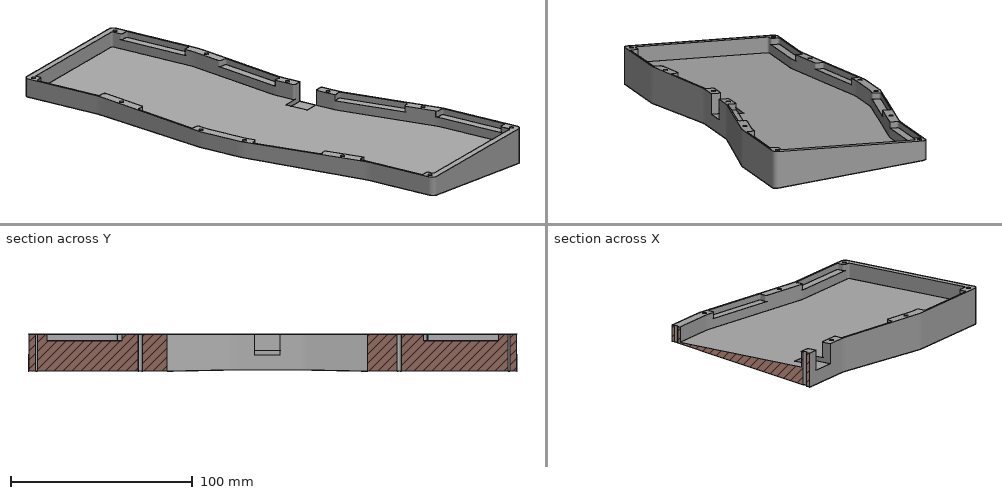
import cadquery as cq
import math

length = 268.5
width = 101.8
height = 21.0
back_y = width / 2
front_y = -width / 2

bend_angle = 10.0
middle_x = 3.0
back_inner_bend = 20.0
back_outer_bend = 80.0
front_inner_bend = 13.7
front_outer_bend = 88.0
corner_radius = 3.0
bend_radius = 25.0

underside_angle = 6.5

wall_thickness = 5.6
end_wall_thickness = 3.8
cavity_depth = 8.9
inner_corner_radius = 1.0

ledge_length = 41.0
ledge_depth = 3.5
lip_thickness = 0.8
back_end_ledge_x = 83.0
front_end_ledge_x = 85.5
back_slant_ledge_x = 19.0
front_slant_ledge_x = 20.0

opening_width = 14.0
opening_front_y = 26.0
opening_depth = 11.5

hole_diameter = 2.2
hole_places = [
    (-130.0, 47.5), (-69.5, 46.7), (-10.2, 37.0), (16.5, 37.0), (72.8, 46.5), (130.0, 47.5),
    (-130.0, -34.7), (-70.5, -37.5), (-11.5, -48.0), (17.0, -48.0), (74.7, -38.0), (130.0, -34.7),
]

slope = math.tan(math.radians(bend_angle))
front_end_y = front_y + (front_outer_bend - front_inner_bend) * slope
back_middle_y = back_y - (back_outer_bend - back_inner_bend) * slope


def outline_prism(wall_inset, end_inset, end_radius):
    """Full-height prism of the outline, set in from the outside by the given amounts."""
    bend_shift = wall_inset * math.tan(math.radians(bend_angle / 2))
    end_x = length / 2 - end_inset
    front = front_end_y + wall_inset
    back = back_y - wall_inset
    front_bends = [
        (front_inner_bend - bend_shift, front_y + wall_inset),
        (front_outer_bend - bend_shift, front),
    ]
    back_bends = [
        (back_outer_bend + bend_shift, back),
        (back_inner_bend + bend_shift, back_middle_y - wall_inset),
    ]
    points = [(middle_x + x, y) for x, y in front_bends]
    points += [(end_x, front), (end_x, back)]
    points += [(middle_x + x, y) for x, y in back_bends]
    points += [(middle_x - x, y) for x, y in reversed(back_bends)]
    points += [(-end_x, back), (-end_x, front)]
    points += [(middle_x - x, y) for x, y in reversed(front_bends)]
    prism = cq.Workplane("XY").polyline(points).close().extrude(height)
    prism = prism.edges("|Z").edges("<X or >X").fillet(end_radius)
    bend_reach = front_outer_bend + 2 * middle_x
    bends = cq.selectors.BoxSelector((-bend_reach, -width, 0), (bend_reach, width, height))
    return prism.edges("|Z").edges(bends).fillet(bend_radius)


def tilted_side_profile():
    """Block with the part's side profile: level top and underside rising to the front."""
    front_z = width * math.tan(math.radians(underside_angle))
    profile = [(back_y, 0), (back_y, height), (front_y, height), (front_y, front_z)]
    return cq.Workplane("YZ").polyline(profile).close().extrude(length, both=True)


def ledge(start, turn, inward):
    """Cutter for a ledge on the +X half, running from a start point on the outer wall face.

    turn is the direction of the wall; inward is 1 where the cavity lies toward +Y, else -1.
    Both ends are rounded into the lip and rounded off at the cavity.
    """
    radius = inner_corner_radius
    bulge = radius * math.sqrt(0.5)
    lip = lip_thickness
    wall = wall_thickness
    cavity_side = 1.5 * wall_thickness
    end = ledge_length
    profile = (
        cq.Workplane("XY")
        .moveTo(-radius, cavity_side)
        .lineTo(-radius, wall)
        .threePointArc((bulge - radius, wall - radius + bulge), (0, wall - radius))
        .lineTo(0, lip + radius)
        .threePointArc((radius - bulge, lip + radius - bulge), (radius, lip))
        .lineTo(end - radius, lip)
        .threePointArc((end - radius + bulge, lip + radius - bulge), (end, lip + radius))
        .lineTo(end, wall - radius)
        .threePointArc((end + radius - bulge, wall - radius + bulge), (end + radius, wall))
        .lineTo(end + radius, cavity_side)
        .close()
    )
    cutter = profile.extrude(ledge_depth)
    if inward < 0:
        cutter = cutter.mirror("XZ")
    return (
        cutter.translate((0, 0, height - ledge_depth))
        .rotate((0, 0, 0), (0, 0, 1), turn)
        .translate((start[0], start[1], 0))
    )


def with_ledges(body):
    """Cut the eight ledges, four each in the back and front walls."""
    back_slant_y = back_middle_y + (back_slant_ledge_x - back_inner_bend) * slope
    front_slant_y = front_y + (front_slant_ledge_x - front_inner_bend) * slope
    end_ledges = [
        ledge((back_end_ledge_x, back_y), 0, -1),
        ledge((front_end_ledge_x, front_end_y), 0, 1),
    ]
    slant_ledges = [
        ledge((back_slant_ledge_x, back_slant_y), bend_angle, -1),
        ledge((front_slant_ledge_x, front_slant_y), bend_angle, 1),
    ]
    for cutter in end_ledges:
        body = body.cut(cutter).cut(cutter.mirror("YZ"))
    for cutter in slant_ledges:
        for side in (cutter, cutter.mirror("YZ")):
            body = body.cut(side.translate((middle_x, 0, 0)))
    return body


def with_opening(body):
    """Cut the connector opening and round the two post corners beside it at the cavity."""
    opening = (
        cq.Workplane("XY")
        .box(opening_width, width, height, centered=(True, False, False))
        .translate((middle_x, opening_front_y, height - opening_depth))
    )
    body = body.cut(opening)
    corner_y = back_middle_y - wall_thickness
    margin = 0.3
    reach = opening_width / 2 + margin
    beside = cq.selectors.BoxSelector(
        (middle_x - reach, corner_y - margin, 0), (middle_x + reach, corner_y + margin, height)
    )
    return body.edges("|Z").edges(beside).fillet(inner_corner_radius)


cavity = outline_prism(wall_thickness, end_wall_thickness, inner_corner_radius)
result = outline_prism(0, 0, corner_radius).intersect(tilted_side_profile())
result = result.cut(cavity.translate((0, 0, height - cavity_depth)))
result = with_ledges(result)
result = with_opening(result)
holes = cq.Workplane("XY").pushPoints(hole_places).circle(hole_diameter / 2).extrude(height)
result = result.cut(holes)